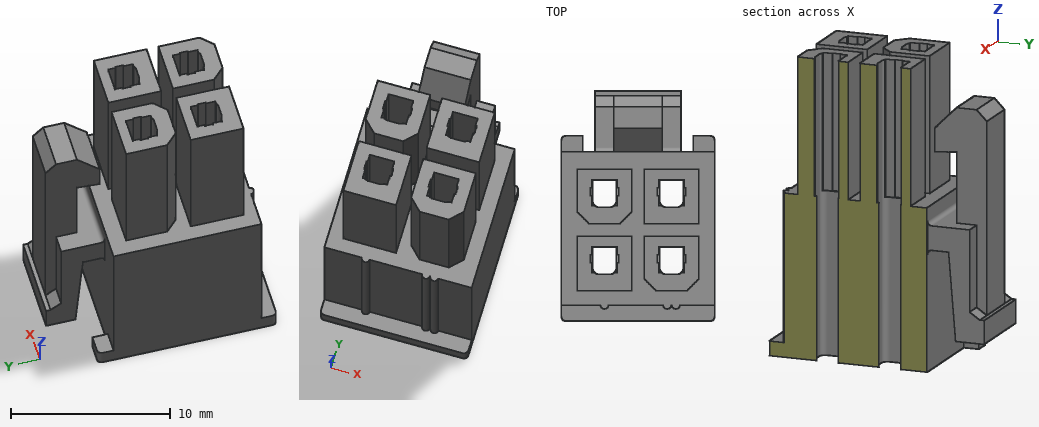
import cadquery as cq

TOTAL_HEIGHT = 19.6
TOTAL_DEPTH = 14.4
BODY_SIDE = 9.6
BODY_TOP = 10.68
HALF_BODY = BODY_SIDE / 2

FLANGE_THICKNESS = 0.98
FLANGE_OVERHANG = 1.0
FLANGE_CORNER_RADIUS = 0.3
FLANGE_GAP_WIDTH = 6.9

CONTACT_PITCH = 4.2
GRID_CENTER_Y = -0.1
TOWER_SIDE = 3.43
TOWER_CHAMFER = 0.76

BORE_OFFSET_Y = 0.24
BORE_SIDE = 1.6
SLOT_SPAN = 1.76
SLOT_WIDTH = 0.5
SLOT_OFFSET_Y = 0.05
PASSAGE_WIDTH = 1.47
PASSAGE_BACK = 0.78
PASSAGE_FRONT = 0.9
PASSAGE_CORNER_RADIUS = 0.4

RIB_RADIUS = 0.25
RIB_PROTRUSION = 0.24
RIB_PAIR_PITCH = 0.55

LEVER_WIDTH = 5.4
LEVER_TOP = 9.5
BRIDGE_THICKNESS = 1.59
BRIDGE_FILLET = 0.27
LEVER_BACK = 7.62
LEVER_BOTTOM = 2.18
PAD_TOP = 3.72
PAD_BACK = TOTAL_DEPTH - HALF_BODY - FLANGE_OVERHANG
RAMP_TOP = 4.17
LEVER_FRONT_TOP = 6.21
LEVER_FRONT_BOTTOM = 6.68

ARM_WIDTH = 3.02
ARM_BACK = 8.31
ARM_FRONT = 6.27
ARM_TOP = 17.0
ARM_CHAMFER = 0.69
HOOK_REACH = ARM_FRONT - HALF_BODY
HOOK_TIP_BOTTOM = 13.97
HOOK_ROOT_BOTTOM = 14.11


def upright_block(width, depth, bottom, top, x=0.0, y=0.0):
    """Block centred on (x, y) between two heights."""
    return cq.Workplane("XY", origin=(x, y, bottom)).rect(width, depth).extrude(top - bottom)


def make_flange():
    """Foot flange with rounded corners and a central gap behind the body for the latch."""
    depth = BODY_SIDE + 2 * FLANGE_OVERHANG
    flange = upright_block(BODY_SIDE, depth, 0, FLANGE_THICKNESS).edges("|Z").fillet(FLANGE_CORNER_RADIUS)
    gap_y = HALF_BODY + FLANGE_OVERHANG / 2
    return flange.cut(upright_block(FLANGE_GAP_WIDTH, FLANGE_OVERHANG, 0, FLANGE_THICKNESS, y=gap_y))


def make_ribs():
    """One rib and a pair of ribs, each in line with a column of towers."""
    first_x = -CONTACT_PITCH / 2
    pair_x = CONTACT_PITCH / 2
    half_pitch = RIB_PAIR_PITCH / 2
    rib_y = -HALF_BODY - RIB_PROTRUSION + RIB_RADIUS
    ribs = cq.Workplane("XY")
    for x in (first_x, pair_x - half_pitch, pair_x + half_pitch):
        rib = cq.Workplane("XY", origin=(x, rib_y, FLANGE_THICKNESS)).circle(RIB_RADIUS)
        ribs = ribs.add(rib.extrude(BODY_TOP - FLANGE_THICKNESS))
    return ribs.combine()


def make_tower(x, y, keyed):
    """Square tower; a keyed one has its two front edges chamfered."""
    tower = upright_block(TOWER_SIDE, TOWER_SIDE, BODY_TOP, TOTAL_HEIGHT, x, y)
    if keyed:
        tower = tower.faces("<Y").edges("|Z").chamfer(TOWER_CHAMFER)
    return tower


def make_bore(x, y):
    """Square pocket with shallow side slots, over a passage with a rounded front."""
    pocket = upright_block(BORE_SIDE, BORE_SIDE, BODY_TOP, TOTAL_HEIGHT, x, y)
    slots = upright_block(SLOT_SPAN, SLOT_WIDTH, BODY_TOP, TOTAL_HEIGHT, x, y + SLOT_OFFSET_Y)
    passage_y = y + (PASSAGE_BACK - PASSAGE_FRONT) / 2
    passage = upright_block(PASSAGE_WIDTH, PASSAGE_BACK + PASSAGE_FRONT, 0, TOTAL_HEIGHT, x, passage_y)
    passage = passage.faces("<Y").edges("|Z").fillet(PASSAGE_CORNER_RADIUS)
    return pocket.union(slots).union(passage)


def make_lever():
    """Rocking lever on a bridge that is filleted into the back of the body."""
    bridge_bottom = LEVER_TOP - BRIDGE_THICKNESS
    fillet_y = HALF_BODY + BRIDGE_FILLET
    return (
        cq.Workplane("YZ")
        .moveTo(HALF_BODY, LEVER_TOP + BRIDGE_FILLET)
        .radiusArc((fillet_y, LEVER_TOP), -BRIDGE_FILLET)
        .lineTo(LEVER_BACK, LEVER_TOP)
        .lineTo(LEVER_BACK, RAMP_TOP)
        .lineTo(ARM_BACK, PAD_TOP)
        .lineTo(PAD_BACK, PAD_TOP)
        .lineTo(PAD_BACK, LEVER_BOTTOM)
        .lineTo(LEVER_FRONT_BOTTOM, LEVER_BOTTOM)
        .lineTo(LEVER_FRONT_TOP, bridge_bottom)
        .lineTo(fillet_y, bridge_bottom)
        .radiusArc((HALF_BODY, bridge_bottom - BRIDGE_FILLET), -BRIDGE_FILLET)
        .close()
        .extrude(LEVER_WIDTH / 2, both=True)
    )


def make_arm():
    """Upright arm on the lever, hooked toward the body at its top."""
    outline = [
        (ARM_BACK, PAD_TOP),
        (ARM_BACK, ARM_TOP - ARM_CHAMFER),
        (ARM_BACK - ARM_CHAMFER, ARM_TOP),
        (ARM_FRONT, ARM_TOP),
        (HALF_BODY, ARM_TOP - HOOK_REACH),
        (HALF_BODY, HOOK_TIP_BOTTOM),
        (ARM_FRONT, HOOK_ROOT_BOTTOM),
        (ARM_FRONT, LEVER_TOP),
        (LEVER_BACK, LEVER_TOP),
        (LEVER_BACK, RAMP_TOP),
    ]
    return cq.Workplane("YZ").polyline(outline).close().extrude(ARM_WIDTH / 2, both=True)


housing = upright_block(BODY_SIDE, BODY_SIDE, 0, BODY_TOP)
housing = housing.union(make_flange()).union(make_ribs())
housing = housing.union(make_lever()).union(make_arm())

for column in (-1, 1):
    for row in (-1, 1):
        tower_x = column * CONTACT_PITCH / 2
        tower_y = GRID_CENTER_Y + row * CONTACT_PITCH / 2
        housing = housing.union(make_tower(tower_x, tower_y, keyed=column != row))
        housing = housing.cut(make_bore(tower_x, tower_y + BORE_OFFSET_Y))

result = housing